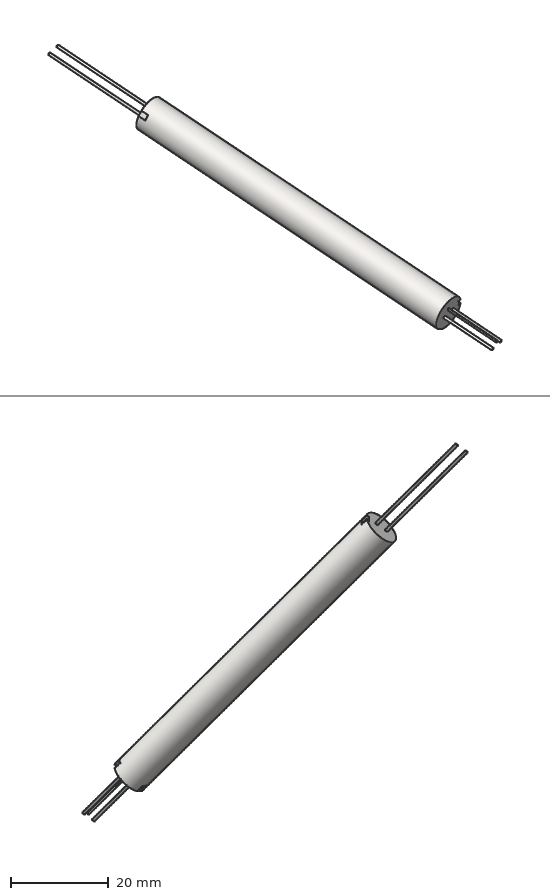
import cadquery as cq

overall_length = 118.4
body_length = 80.0
body_diameter = 7.9
body_radius = body_diameter / 2
left_lead_length = 25.5
right_lead_length = overall_length - left_lead_length - body_length

lead_width = 0.7
lead_thickness = 0.4
lead_offset = 1.3
lead_embed = 1.2
left_lead_angles = (0, 180)
right_lead_angles = (0, 90, 180)

notch_width = 1.3
notch_length = 1.8
deep_notch_depth = 0.7
deep_notch_angle = 0
shallow_notch_depth = 0.1
left_shallow_notch_angle = 135
right_shallow_notch_angle = 225


def lead(x_start, length, angle):
    """Strip with a slot-shaped cross-section, offset from the axis and turned about X."""
    return (
        cq.Workplane("YZ", origin=(x_start, 0, 0))
        .center(lead_offset, 0)
        .slot2D(lead_width, lead_thickness)
        .extrude(length)
        .rotate((0, 0, 0), (1, 0, 0), angle)
    )


def notch(x_start, depth, angle):
    """Cutter whose floor is concentric with the body."""
    block = (
        cq.Workplane("XY", origin=(x_start, 0, 0))
        .box(notch_length, body_diameter, notch_width, centered=(False, False, True))
    )
    core = cq.Workplane("YZ", origin=(x_start, 0, 0)).circle(body_radius - depth).extrude(notch_length)
    return block.cut(core).rotate((0, 0, 0), (1, 0, 0), angle)


result = cq.Workplane("YZ").circle(body_radius).extrude(body_length)

right_notch_start = body_length - notch_length
for notch_start, shallow_notch_angle in (
    (0, left_shallow_notch_angle),
    (right_notch_start, right_shallow_notch_angle),
):
    result = result.cut(notch(notch_start, deep_notch_depth, deep_notch_angle))
    result = result.cut(notch(notch_start, shallow_notch_depth, shallow_notch_angle))

for lead_angle in left_lead_angles:
    result = result.union(lead(-left_lead_length, left_lead_length + lead_embed, lead_angle))
for lead_angle in right_lead_angles:
    result = result.union(lead(body_length - lead_embed, right_lead_length + lead_embed, lead_angle))